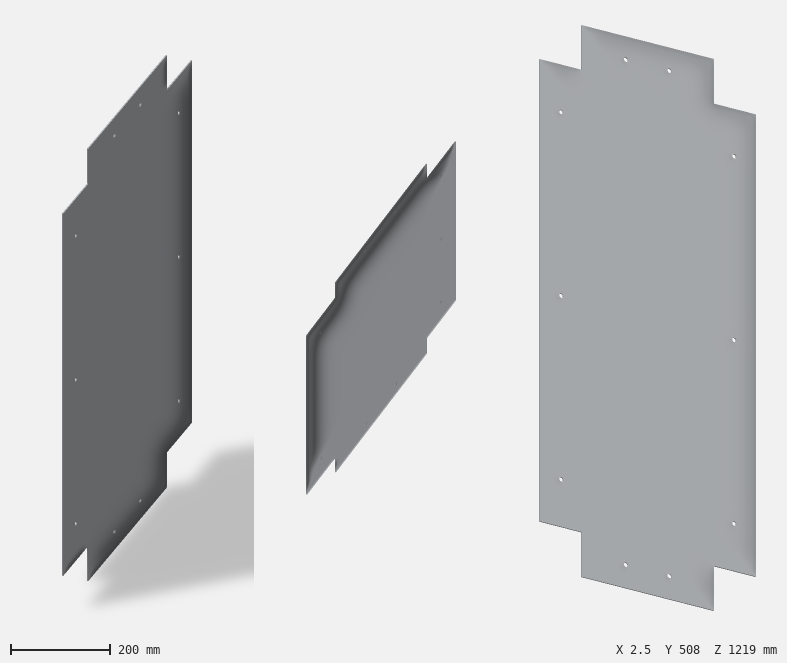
import cadquery as cq

thickness = 2.5
width = 508.0
height = 1219.0

notch = 99.0

hole_diameter = 9.5
side_hole_y = 204.0
side_hole_z = 406.0
tab_hole_y = 51.0
tab_hole_z = 558.0


def make_sheet():
    """Cross-shaped sheet: a full-width body and a full-height strip for the tabs."""
    body = cq.Workplane("XY").box(thickness, width, height - 2 * notch)
    strip = cq.Workplane("XY").box(thickness, width - 2 * notch, height)
    return body.union(strip)


def hole_positions():
    """Three holes along each long side and two on each tab, as (y, z)."""
    side_holes = [
        (side * side_hole_y, level * side_hole_z) for side in (-1, 1) for level in (-1, 0, 1)
    ]
    tab_holes = [
        (side * tab_hole_y, end * tab_hole_z) for side in (-1, 1) for end in (-1, 1)
    ]
    return side_holes + tab_holes


def make_hole_cutters():
    """Pins that pass right through the sheet along X."""
    return (
        cq.Workplane("YZ")
        .pushPoints(hole_positions())
        .circle(hole_diameter / 2)
        .extrude(thickness, both=True)
    )


result = make_sheet().cut(make_hole_cutters())